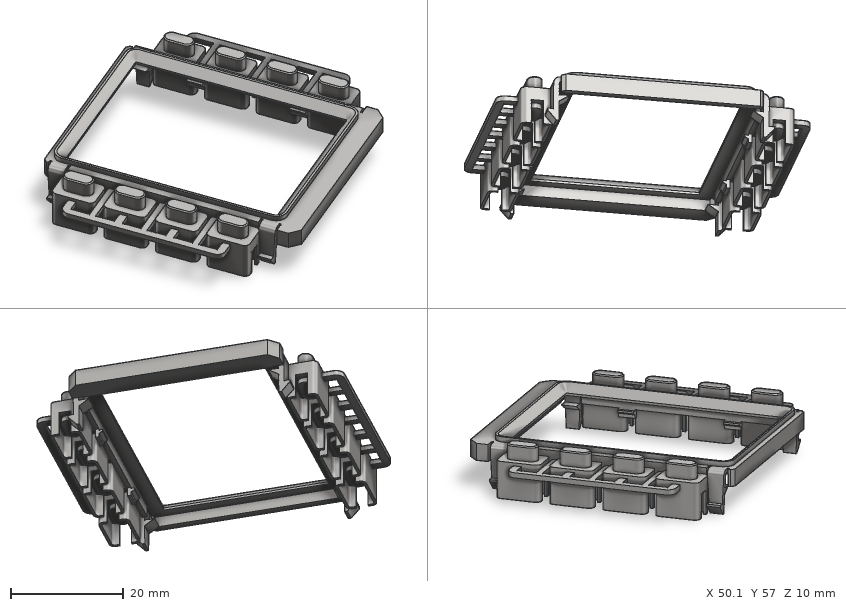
import cadquery as cq


FRAME_BOTTOM = 5.1
FRAME_TOP = 8.25
RIM_TOP = 9.25
POCKET_CEILING = 7.2
TOTAL_HEIGHT = 10.0

TOTAL_LENGTH = 50.1
LEFT_X = -23.6
RIGHT_X = LEFT_X + TOTAL_LENGTH
END_INNER_X = 22.5
STRIP_HALF_X = 18.6
STRIP_HALF_Y = 18.8
SLOT_FLOOR_Y = 17.65
LEFT_HALF_Y = 18.3
LEFT_CHAMFER = 0.6
RIGHT_HALF_Y = 19.55
RIGHT_CHAMFER = 1.75

RIM_HALF_X = 22.6
RIM_HALF_Y = 17.3
RIM_RADIUS = 2.1
RIM_WIDTH = 0.45
BEVEL = 1.6
BEVEL_ANGLE = 45
CORNER_REST = 0.05
POCKET_HALF_X = 22.35
POCKET_HALF_Y = 17.85

HOOK_X = 20.6
HOOK_HALF_TOP = 1.6
HOOK_HALF_TIP = 1.2
HOOK_INNER_Y = 18.5
HOOK_OUTER_Y = RIGHT_HALF_Y
HOOK_BEND = 1.15
HOOK_INNER_BEND = 0.45
HOOK_FLAP_BOTTOM = 7.4
BARB_Y = 20.6
BARB_TOP = 2.1
BARB_NOSE = 0.4
TIP_OUTER_Y = 19.05

TOOTH_Y = 16.65
TOOTH_TOP = 4.85
TOOTH_ROOT = 3.65
TAB_HALF_X = 1.55
TAB_TOOTH_Y = 17.2
TAB_OUTER_Y = 18.5
TAB_BOTTOM = 3.4

KEY_PITCH = 10.05
KEY_COUNT = 4
KEY_LENGTH = 8.3
KEY_DEPTH = 5.7
KEY_Y = 21.95
KEY_BOTTOM = 0.2
KEY_TOP = 7.2
KEY_RADIUS = 1.0
KEY_WALL = 0.5
NOTCH_DEPTH_Y = 2.2
NOTCH_TOP = 4.75
STUB_BOTTOM = 3.75
CAP_LENGTH = 5.75
CAP_WIDTH = 2.75
CAP_CHAMFER = 0.2

CARRIER_BOTTOM = 5.65
CARRIER_TOP = 6.6
CARRIER_OUTER_Y = 28.5
CARRIER_INNER_Y = 27.1
CARRIER_RADIUS = 1.6
KEY_ARM_WIDTH = 1.55
DIVIDER_WIDTH = 1.2

FIRST_KEY_X = -KEY_PITCH * (KEY_COUNT - 1) / 2
KEY_XS = [FIRST_KEY_X + i * KEY_PITCH for i in range(KEY_COUNT)]
DIVIDER_XS = [x + KEY_PITCH / 2 for x in KEY_XS[:-1]]
TAB_XS = [DIVIDER_XS[0], DIVIDER_XS[-1]]


def block(x0, x1, y0, y1, z0, z1):
    return cq.Workplane("XY").box(x1 - x0, y1 - y0, z1 - z0, centered=False).translate((x0, y0, z0))


def rounded_block(half_x, half_y, radius, z0, z1):
    return block(-half_x, half_x, -half_y, half_y, z0, z1).edges("|Z").fillet(radius)


def side_profile(points, x_center, half_x):
    """Extrude a (Y, Z) outline along X, centred on x_center."""
    return cq.Workplane("YZ").polyline(points).close().extrude(half_x, both=True).translate((x_center, 0, 0))


def make_frame():
    left = block(LEFT_X, -END_INNER_X, -LEFT_HALF_Y, LEFT_HALF_Y, FRAME_BOTTOM, FRAME_TOP)
    left = left.edges("|Z and <X").chamfer(LEFT_CHAMFER)
    right = block(END_INNER_X, RIGHT_X, -RIGHT_HALF_Y, RIGHT_HALF_Y, FRAME_BOTTOM, FRAME_TOP)
    right = right.edges("|Z and >X").chamfer(RIGHT_CHAMFER)
    core = block(-END_INNER_X, END_INNER_X, -SLOT_FLOOR_Y, SLOT_FLOOR_Y, FRAME_BOTTOM, FRAME_TOP)
    strips = block(-STRIP_HALF_X, STRIP_HALF_X, -STRIP_HALF_Y, STRIP_HALF_Y, FRAME_BOTTOM, FRAME_TOP)
    rim = rounded_block(RIM_HALF_X, RIM_HALF_Y, RIM_RADIUS, FRAME_TOP, RIM_TOP)
    frame = core.union(left).union(right).union(strips).union(rim)

    pocket = block(
        -POCKET_HALF_X, POCKET_HALF_X, -POCKET_HALF_Y, POCKET_HALF_Y, FRAME_BOTTOM, POCKET_CEILING
    )
    bevel_half_x = RIM_HALF_X - RIM_WIDTH
    bevel_half_y = RIM_HALF_Y - RIM_WIDTH
    bevel = (
        cq.Workplane("XY", origin=(0, 0, RIM_TOP))
        .sketch()
        .rect(2 * bevel_half_x, 2 * bevel_half_y)
        .vertices()
        .fillet(BEVEL + CORNER_REST)
        .finalize()
        .extrude(-BEVEL, taper=BEVEL_ANGLE)
    )
    window_half_x = bevel_half_x - BEVEL
    window_half_y = bevel_half_y - BEVEL
    window = rounded_block(window_half_x, window_half_y, CORNER_REST, FRAME_BOTTOM, RIM_TOP)
    return frame.cut(pocket).cut(bevel).cut(window)


def make_hook(x_center):
    """Flexible arm that bends down from the frame top, with an outward barb and an inward tooth."""
    flap = block(-HOOK_HALF_TOP, HOOK_HALF_TOP, SLOT_FLOOR_Y, HOOK_OUTER_Y, 0, FRAME_TOP)
    under = block(-HOOK_HALF_TOP, HOOK_HALF_TOP, SLOT_FLOOR_Y, HOOK_INNER_Y, 0, HOOK_FLAP_BOTTOM)
    under = under.edges("|X and >Y and >Z").fillet(HOOK_INNER_BEND)
    arm = flap.edges("|X and >Y and >Z").fillet(HOOK_BEND).cut(under)
    barb = side_profile(
        [
            (HOOK_INNER_Y, BARB_TOP),
            (BARB_Y, BARB_TOP),
            (BARB_Y, BARB_TOP - BARB_NOSE),
            (TIP_OUTER_Y, 0),
            (HOOK_INNER_Y, 0),
        ],
        0,
        HOOK_HALF_TOP,
    )
    below_barb = block(-HOOK_HALF_TOP, HOOK_HALF_TOP, HOOK_INNER_Y, HOOK_OUTER_Y, 0, BARB_TOP)
    tooth = side_profile(
        [(HOOK_INNER_Y, TOOTH_TOP), (TOOTH_Y, TOOTH_TOP), (HOOK_INNER_Y, TOOTH_ROOT)], 0, HOOK_HALF_TOP
    )
    taper = (
        cq.Workplane("XZ")
        .polyline(
            [
                (-HOOK_HALF_TIP, 0),
                (HOOK_HALF_TIP, 0),
                (HOOK_HALF_TOP, FRAME_TOP),
                (-HOOK_HALF_TOP, FRAME_TOP),
            ]
        )
        .close()
        .extrude(-CARRIER_OUTER_Y)
    )
    hook = arm.cut(below_barb).union(barb).union(tooth).intersect(taper)
    return hook.translate((x_center, 0, 0))


def make_tab(x_center):
    """Short tab below a side strip, with a blunt tooth that follows the slope of the hook teeth."""
    slope = (TOOTH_TOP - TOOTH_ROOT) / (HOOK_INNER_Y - TOOTH_Y)
    tooth_nose = TOOTH_TOP - slope * (TAB_TOOTH_Y - TOOTH_Y)
    tooth_foot = TOOTH_TOP - slope * (POCKET_HALF_Y - TOOTH_Y)
    return side_profile(
        [
            (TAB_OUTER_Y, FRAME_BOTTOM),
            (POCKET_HALF_Y, FRAME_BOTTOM),
            (POCKET_HALF_Y, TOOTH_TOP),
            (TAB_TOOTH_Y, TOOTH_TOP),
            (TAB_TOOTH_Y, tooth_nose),
            (POCKET_HALF_Y, tooth_foot),
            (POCKET_HALF_Y, TAB_BOTTOM),
            (TAB_OUTER_Y, TAB_BOTTOM),
        ],
        x_center,
        TAB_HALF_X,
    )


def make_key(x_center):
    """Hollow key body with notched end walls, and a cap that carries on inside as a stub."""
    half_x = KEY_LENGTH / 2
    half_y = KEY_DEPTH / 2
    body = rounded_block(half_x, half_y, KEY_RADIUS, KEY_BOTTOM, KEY_TOP)
    cavity = rounded_block(half_x - KEY_WALL, half_y - KEY_WALL, KEY_RADIUS - KEY_WALL, KEY_BOTTOM, NOTCH_TOP)
    notch = block(-half_x, half_x, -NOTCH_DEPTH_Y / 2, NOTCH_DEPTH_Y / 2, KEY_BOTTOM, NOTCH_TOP)
    cap = (
        cq.Workplane("XY", origin=(0, 0, STUB_BOTTOM))
        .slot2D(CAP_LENGTH, CAP_WIDTH)
        .extrude(TOTAL_HEIGHT - STUB_BOTTOM)
        .faces(">Z")
        .chamfer(CAP_CHAMFER)
    )
    return body.cut(cavity).cut(notch).union(cap).translate((x_center, KEY_Y, 0))


def make_carrier():
    """Outer bar with one arm to each key and dividers that reach the frame."""
    half_x = KEY_XS[-1] + KEY_ARM_WIDTH / 2
    carrier = block(-half_x, half_x, CARRIER_INNER_Y, CARRIER_OUTER_Y, CARRIER_BOTTOM, CARRIER_TOP)
    key_outer_y = KEY_Y + KEY_DEPTH / 2
    branches = [(x, KEY_ARM_WIDTH, key_outer_y) for x in KEY_XS]
    branches += [(x, DIVIDER_WIDTH, STRIP_HALF_Y) for x in DIVIDER_XS]
    for x, width, start_y in branches:
        branch = block(x - width / 2, x + width / 2, start_y, CARRIER_OUTER_Y, CARRIER_BOTTOM, CARRIER_TOP)
        carrier = carrier.union(branch)
    return carrier.edges("|Z and >Y").fillet(CARRIER_RADIUS)


def make_side():
    side = make_carrier()
    for x in KEY_XS:
        side = side.union(make_key(x))
    for x in (-HOOK_X, HOOK_X):
        side = side.union(make_hook(x))
    for x in TAB_XS:
        side = side.union(make_tab(x))
    return side


side = make_side()
result = make_frame().union(side).union(side.mirror("XZ"))